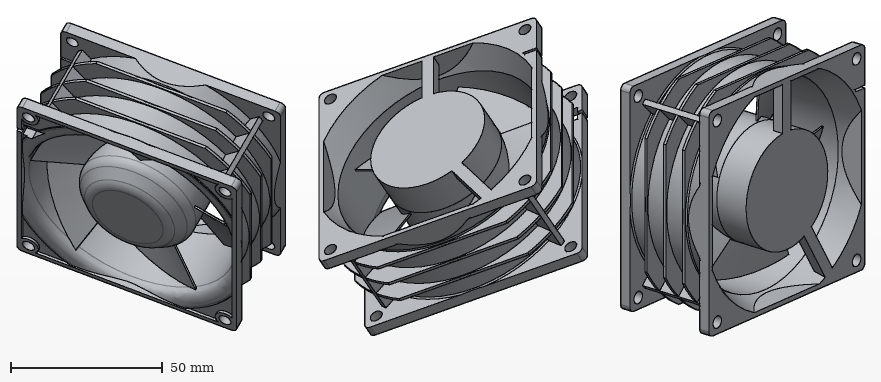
import cadquery as cq
import math


SIDE = 80.0
HALF = SIDE / 2
DEPTH = 38.0
FRONT = -DEPTH / 2
REAR = DEPTH / 2
FLANGE = 4.0
CORNER_R = 2.0
HOLE_PITCH = 71.5
HOLE_D = 4.3
LIP = 1.8
OPENING = SIDE - 2 * LIP
RECESS = 1.0
BOSS_R = 3.6
RIM_R = 43.8
RIM_HEIGHT = 0.5

BORE_R = 37.8
DUCT_R = 39.7
INLET_R = 43.0
INLET_END = FRONT + 4.5
FLARE_START = 9.4
FLARE_R = 42.0
FLARE_SLOPE = (FLARE_R - DUCT_R) / (REAR - FLANGE - FLARE_START)

RIB_PITCH = 8.1
RIB_THICK = 1.0
RIB_R = 46.5
WEB_THICK = 2.0

CHANNEL_Z = (23.8, 29.3)
CHANNEL_END_R = 42.1
FRONT_SLOT_Z = (25.9, 27.4)
REAR_SLOT_Z = (24.2, 25.1)
CONE_SLOT_Z = (25.9, 26.9)
CONE_SLOT_Y = 12.8
REAR_SLOT_DEPTH = 11.2
SLOT_FLOOR = 1.0

BASE_Y = 6.4
STRUT_WIDTH = 4.3
STRUT_THICK = 4.0
STRUT_ANGLES = (90.0, 239.0)

HUB_R = 21.0
HUB_FACE_R = 12.9
HUB_SETBACK = 0.8
HUB_FRONT = FRONT + HUB_SETBACK
HUB_ROUND = 5.0

BLADES = 5
BLADE_TIP_R = 37.2
BLADE_SINK = 0.8
BLADE_ROOT_R = HUB_R - BLADE_SINK
BLADE_THICK = 0.8
TIP_ANGLES = (166.2, 96.0)
ROOT_ANGLES = (160.4, 91.9)
TIP_Y = (FRONT + 2.2, FRONT + 22.4)
ROOT_Y = (FRONT + 10.0, FRONT + 24.0)
BLADE_POINTS = 7


def revolve(outline):
    """Turn a closed (radius, y) outline about the fan axis."""
    return outline.close().revolve(360, (0, 0), (0, 1))


def disc(radius, y0, y1):
    return cq.Workplane("XZ", origin=(0, y0, 0)).circle(radius).extrude(y0 - y1)


def square(side, y0, y1):
    return cq.Workplane("XZ", origin=(0, y0, 0)).rect(side, side).extrude(y0 - y1)


def box(x, y, z):
    """Box from (low, high) pairs."""
    size = [high - low for low, high in (x, y, z)]
    return cq.Workplane("XY").box(*size, centered=False).translate((x[0], y[0], z[0]))


def at_holes(y0):
    plane = cq.Workplane("XZ", origin=(0, y0, 0))
    return plane.rect(HOLE_PITCH, HOLE_PITCH, forConstruction=True).vertices()


def flange(y0):
    return square(SIDE, y0, y0 + FLANGE).edges("|Y").fillet(CORNER_R)


def duct_outside():
    """Solid barrel with a rounded inlet bell and a conical outlet, cut flush with the flange sides."""
    rear_r = DUCT_R + FLARE_SLOPE * (REAR - FLARE_START)
    bell_y = FRONT + RECESS
    barrel = revolve(
        cq.Workplane("XY")
        .moveTo(0, bell_y)
        .lineTo(RIM_R, bell_y)
        .lineTo(DUCT_R, INLET_END)
        .lineTo(DUCT_R, FLARE_START)
        .lineTo(rear_r, REAR)
        .lineTo(0, REAR)
    )
    return barrel.intersect(square(SIDE, FRONT, REAR))


def bore():
    """Air passage: rounded inlet, straight bore and conical outlet inside the square opening."""
    mouth_y = FRONT + RECESS - RIM_HEIGHT
    rear_r = BORE_R + FLARE_SLOPE * (REAR - FLARE_START)
    passage = revolve(
        cq.Workplane("XY")
        .moveTo(0, FRONT)
        .lineTo(INLET_R, FRONT)
        .lineTo(INLET_R, mouth_y)
        .spline([(BORE_R, INLET_END)], tangents=[(-1, 0), (0, 1)], includeCurrent=True)
        .lineTo(BORE_R, FLARE_START)
        .lineTo(rear_r, REAR)
        .lineTo(0, REAR)
    )
    return passage.intersect(square(OPENING, FRONT, REAR))


def front_recess():
    """Shallow square recess that leaves a pad at each hole and a raised rim at the inlet."""
    floor_y = FRONT + RECESS
    recess = square(OPENING, FRONT, floor_y)
    pads = at_holes(FRONT).circle(BOSS_R).extrude(-RECESS)
    rim = disc(RIM_R, floor_y - RIM_HEIGHT, floor_y)
    return recess.cut(pads).cut(rim)


def ribs():
    """Three square ribs with rounded corners around the duct."""
    plates = []
    for step in (-1, 0, 1):
        y0 = step * RIB_PITCH - RIB_THICK / 2
        plates.append(square(SIDE, y0, y0 + RIB_THICK).intersect(disc(RIB_R, y0, y0 + RIB_THICK)))
    return plates


def webs():
    """Diagonal plates that join the two flanges at their corners."""
    length = DEPTH - 2 * FLANGE
    plates = []
    for angle in (45, 135):
        plate = cq.Workplane("XY").box(2 * RIB_R, length, WEB_THICK)
        plates.append(plate.rotate((0, 0, 0), (0, 1, 0), angle))
    return plates


def cable_channel():
    """Opening through the front flange beside the inlet, with a slot through the edge wall."""
    y_range = (FRONT, FRONT + FLANGE)
    edge_x = -HALF + LIP
    channel = box((edge_x, 0), y_range, CHANNEL_Z).cut(disc(CHANNEL_END_R, *y_range))
    slot = box((-HALF, edge_x), y_range, FRONT_SLOT_Z)
    return channel.union(slot)


def rear_cable_slot():
    """Slot through the rear flange edge that climbs along the outlet cone to the last rib."""
    flange_y = REAR - FLANGE
    rib_y = RIB_PITCH + RIB_THICK / 2
    outline = [
        (REAR, REAR_SLOT_Z[0]),
        (flange_y, REAR_SLOT_Z[0]),
        (rib_y, CONE_SLOT_Z[0]),
        (rib_y, CONE_SLOT_Z[1]),
        (CONE_SLOT_Y, CONE_SLOT_Z[1]),
        (CONE_SLOT_Y, CONE_SLOT_Z[0]),
        (flange_y, REAR_SLOT_Z[1]),
        (REAR, REAR_SLOT_Z[1]),
    ]
    slot = cq.Workplane("YZ", origin=(-HALF, 0, 0)).polyline(outline).close().extrude(REAR_SLOT_DEPTH)
    floor_r = BORE_R + SLOT_FLOOR
    inner_cone = revolve(
        cq.Workplane("XY")
        .moveTo(0, rib_y)
        .lineTo(floor_r, rib_y)
        .lineTo(floor_r + FLARE_SLOPE * (REAR - rib_y), REAR)
        .lineTo(0, REAR)
    )
    return slot.cut(inner_cone)


def motor_support():
    """Round motor base held by struts that run into the rear flange."""
    support = disc(HUB_R, BASE_Y, REAR)
    for angle in STRUT_ANGLES:
        strut = box((0, FLARE_R), (REAR - STRUT_THICK, REAR), (-STRUT_WIDTH / 2, STRUT_WIDTH / 2))
        support = support.union(strut.rotate((0, 0, 0), (0, 1, 0), -angle))
    return support.intersect(square(SIDE, FRONT, REAR))


def make_housing():
    body = duct_outside().union(flange(FRONT)).union(flange(REAR - FLANGE))
    for plate in ribs() + webs():
        body = body.union(plate)
    body = body.cut(front_recess())
    body = body.cut(bore())
    body = body.cut(at_holes(FRONT).circle(HOLE_D / 2).extrude(-DEPTH))
    body = body.cut(cable_channel()).cut(rear_cable_slot())
    return body.union(motor_support())


def hub():
    """Domed hub: flat face, rounding, 45 degree cone, rounding, cylinder."""
    diagonal = HUB_ROUND * math.sqrt(0.5)
    drop = HUB_ROUND - diagonal
    cone_r0 = HUB_FACE_R + diagonal
    cone_y0 = HUB_FRONT + drop
    cone_r1 = HUB_R - drop
    cone_y1 = cone_y0 + cone_r1 - cone_r0
    return revolve(
        cq.Workplane("XY")
        .moveTo(0, HUB_FRONT)
        .lineTo(HUB_FACE_R, HUB_FRONT)
        .tangentArcPoint((cone_r0, cone_y0), relative=False)
        .lineTo(cone_r1, cone_y1)
        .tangentArcPoint((HUB_R, cone_y1 + diagonal), relative=False)
        .lineTo(HUB_R, BASE_Y)
        .lineTo(0, BASE_Y)
    )


def blade_curve(radius, angles, heights, shift):
    """Helical edge curve from the leading to the trailing edge, moved along the axis by shift."""
    points = []
    for i in range(BLADE_POINTS):
        t = i / (BLADE_POINTS - 1)
        angle = math.radians(angles[0] + t * (angles[1] - angles[0]))
        y = heights[0] + t * (heights[1] - heights[0]) + shift
        points.append(cq.Vector(radius * math.cos(angle), y, radius * math.sin(angle)))
    return cq.Edge.makeSpline(points)


def blade():
    """Twisted plate between four helical edge curves."""
    root_front, root_back = [blade_curve(BLADE_ROOT_R, ROOT_ANGLES, ROOT_Y, s) for s in (0, BLADE_THICK)]
    tip_front, tip_back = [blade_curve(BLADE_TIP_R, TIP_ANGLES, TIP_Y, s) for s in (0, BLADE_THICK)]
    loop = [root_front, tip_front, tip_back, root_back]
    faces = [cq.Face.makeRuledSurface(loop[i], loop[(i + 1) % len(loop)]) for i in range(len(loop))]
    for end in (cq.Edge.startPoint, cq.Edge.endPoint):
        corners = [end(edge) for edge in loop]
        inner = cq.Edge.makeLine(corners[0], corners[3])
        outer = cq.Edge.makeLine(corners[1], corners[2])
        faces.append(cq.Face.makeRuledSurface(inner, outer))
    return cq.Workplane(cq.Solid.makeSolid(cq.Shell.makeShell(faces)))


def make_rotor():
    body = hub()
    one_blade = blade()
    for i in range(BLADES):
        body = body.union(one_blade.rotate((0, 0, 0), (0, 1, 0), i * 360 / BLADES))
    return body


housing = make_housing()
rotor = make_rotor()
result = cq.Compound.makeCompound([housing.solids().val(), rotor.solids().val()])